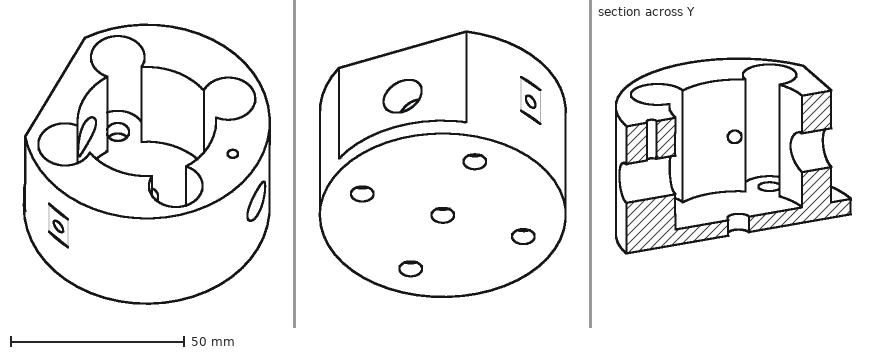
import cadquery as cq
import math

body_diameter = 71.0
body_radius = body_diameter / 2
height = 40.0
floor_thickness = 5.0

bore_diameter = 40.0
pocket_diameter = 15.5
pocket_offset = 17.7
bolt_hole_diameter = 6.5

flat_distance = 29.3

port_diameter = 12.0
port_height = 22.0
pin_hole_diameter = 3.0
pin_hole_x = 27.5

pad_angle = 20.8
pad_width = 8.1
pad_bottom = 16.0
pad_height = 13.05
pad_hole_diameter = 4.0
pad_distance = math.sqrt(body_radius**2 - (pad_width / 2) ** 2)


def make_body():
    """Round housing with the tall flat cut down to the base flange."""
    body = cq.Workplane("XY").circle(body_radius).extrude(height)
    flat_depth = body_radius - flat_distance
    flat_cut = (
        cq.Workplane("XY", origin=(-body_radius, 0, floor_thickness))
        .rect(2 * flat_depth, body_diameter)
        .extrude(height - floor_thickness)
    )
    return body.cut(flat_cut)


def make_cavity():
    """Central bore and corner pockets, all ending on the same floor."""
    cavity_depth = height - floor_thickness
    floor = cq.Workplane("XY", origin=(0, 0, floor_thickness))
    bore = floor.circle(bore_diameter / 2).extrude(cavity_depth)
    pockets = (
        floor.rect(2 * pocket_offset, 2 * pocket_offset, forConstruction=True)
        .vertices()
        .circle(pocket_diameter / 2)
        .extrude(cavity_depth)
    )
    return bore.union(pockets)


def make_floor_holes():
    """Centre hole and one bolt hole in each corner pocket."""
    corners = [(x, y) for x in (-pocket_offset, pocket_offset) for y in (-pocket_offset, pocket_offset)]
    return (
        cq.Workplane("XY")
        .pushPoints([(0, 0)] + corners)
        .circle(bolt_hole_diameter / 2)
        .extrude(floor_thickness)
    )


def make_port():
    """Cross port through both walls."""
    return (
        cq.Workplane("YZ", origin=(-body_radius, 0, port_height))
        .circle(port_diameter / 2)
        .extrude(body_diameter)
    )


def make_pin_hole():
    """Small vertical hole from the top face down into the cross port."""
    return (
        cq.Workplane("XY", origin=(pin_hole_x, 0, port_height))
        .circle(pin_hole_diameter / 2)
        .extrude(height - port_height)
    )


def make_pad_cut():
    """Shallow flat pad and its hole into the bore, turned into place about Z."""
    pad_depth = body_radius - pad_distance
    pad = (
        cq.Workplane("XY", origin=(0, -pad_distance - pad_depth / 2, pad_bottom))
        .rect(pad_width, pad_depth)
        .extrude(pad_height)
    )
    hole = (
        cq.Workplane("XZ", origin=(0, 0, port_height))
        .circle(pad_hole_diameter / 2)
        .extrude(body_radius)
    )
    return pad.union(hole).rotate((0, 0, 0), (0, 0, 1), -pad_angle)


result = (
    make_body()
    .cut(make_cavity())
    .cut(make_floor_holes())
    .cut(make_port())
    .cut(make_pin_hole())
    .cut(make_pad_cut())
)